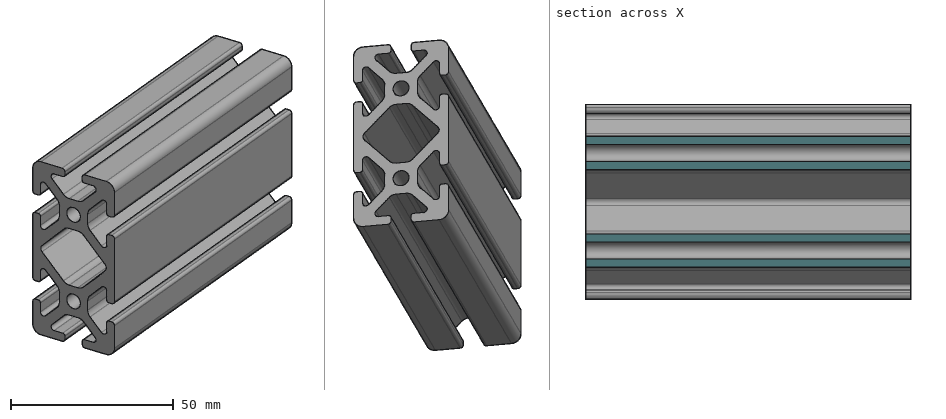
import cadquery as cq
import math

WIDTH = 30.0
HEIGHT = 60.0
LENGTH = 100.0
CORNER_RADIUS = 3.0

HALF_CELL = WIDTH / 2
CELL_CENTRES = (-HALF_CELL, HALF_CELL)
CORE_HOLE_DIAMETER = 5.0
CORE_HALF_WIDTH = 5.18
CORE_RADIUS = 3.0

WEB_THICKNESS = 3.35
WEB_HALF_OFFSET = WEB_THICKNESS / 2 * math.sqrt(2)

SLOT_HALF_OPENING = 3.17
LIP_THICKNESS = 2.87
LIP_OUTER_RADIUS = 1.0
LIP_INNER_RADIUS = 0.8
SLOT_TIP_RADIUS = 1.1

CAVITY_TIP_RADIUS = 1.5

OVERCUT = 1.0

MATCH_TOLERANCE = 0.01


def prism(points):
    """Extrude an XZ outline over the whole length, centred on Y."""
    return cq.Workplane("XZ").polyline(points).close().extrude(LENGTH / 2, both=True)


def passes_through(edge, points):
    """Tell whether a lengthwise edge passes through one of the XZ points."""
    centre = edge.Center()
    return any(math.hypot(centre.x - x, centre.z - z) < MATCH_TOLERANCE for x, z in points)


def round_edges_at(body, points, radius):
    """Round the lengthwise edges that pass through the given XZ points."""
    edges = [edge for edge in body.edges("|Y").vals() if passes_through(edge, points)]
    return body.newObject(edges).fillet(radius)


def blank():
    """Solid bar with rounded outer corners."""
    return cq.Workplane("XY").box(WIDTH, LENGTH, HEIGHT).edges("|Y").fillet(CORNER_RADIUS)


def slot_placements():
    """Functions that turn slot coordinates (across, outward from the cell centre) into XZ points."""
    placements = []
    for side in (-1, 1):
        placements.append(lambda across, outward, s=side: (across, s * (HALF_CELL + outward)))
        for centre in CELL_CENTRES:
            placements.append(lambda across, outward, s=side, c=centre: (s * outward, c + across))
    return placements


def cut_slot(body, place):
    """Cut one T-slot, then round its lips, its tips and its floor."""
    lip_inside = HALF_CELL - LIP_THICKNESS
    mouth = (SLOT_HALF_OPENING, HALF_CELL)
    above_mouth = (SLOT_HALF_OPENING, HALF_CELL + OVERCUT)
    lip = (SLOT_HALF_OPENING, lip_inside)
    tip = (lip_inside - WEB_HALF_OFFSET, lip_inside)
    floor = (CORE_HALF_WIDTH - WEB_HALF_OFFSET, CORE_HALF_WIDTH)

    half = [above_mouth, lip, tip, floor]
    mirrored = [(-across, outward) for across, outward in reversed(half)]
    body = body.cut(prism([place(*point) for point in half + mirrored]))

    roundings = (
        (mouth, LIP_OUTER_RADIUS),
        (lip, LIP_INNER_RADIUS),
        (tip, SLOT_TIP_RADIUS),
        (floor, CORE_RADIUS),
    )
    for (across, outward), radius in roundings:
        body = round_edges_at(body, [place(across, outward), place(-across, outward)], radius)
    return body


def cavity():
    """Hexagonal cavity between the two cells: a diamond cut flat at both cores."""
    tip_reach = HALF_CELL - WEB_HALF_OFFSET
    flat_height = HALF_CELL - CORE_HALF_WIDTH
    flat_half_width = tip_reach - flat_height
    right_tip = (tip_reach, 0)
    left_tip = (-tip_reach, 0)
    upper = [(flat_half_width, flat_height), (-flat_half_width, flat_height)]
    lower = [(-x, -z) for x, z in upper]
    body = prism([right_tip] + upper + [left_tip] + lower)
    body = round_edges_at(body, [right_tip, left_tip], CAVITY_TIP_RADIUS)
    return round_edges_at(body, upper + lower, CORE_RADIUS)


def core_holes():
    """Round holes through the middle of both cells."""
    centres = [(0, centre) for centre in CELL_CENTRES]
    circles = cq.Workplane("XZ").pushPoints(centres).circle(CORE_HOLE_DIAMETER / 2)
    return circles.extrude(LENGTH / 2, both=True)


profile = blank()
for placement in slot_placements():
    profile = cut_slot(profile, placement)
result = profile.cut(cavity()).cut(core_holes())